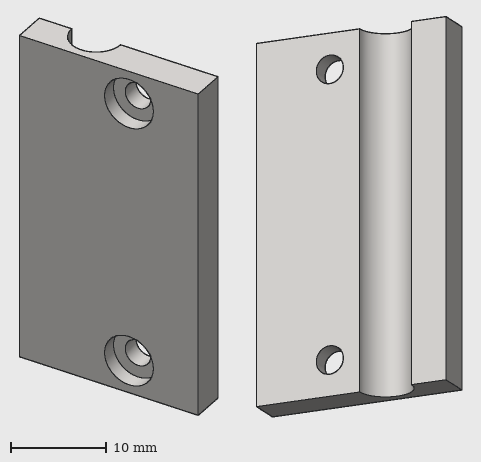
import cadquery as cq

width = 22.0
thickness = 4.0
height = 40.0

groove_diameter = 6.0
groove_x = 7.0

hole_diameter = 3.1
counterbore_diameter = 6.0
counterbore_depth = 1.8
hole_x = 13.5
hole_end_distance = 4.0
hole_heights = (hole_end_distance, height - hole_end_distance)


def front_cylinder(diameter, depth, z):
    """Cylinder at a screw position, reaching from the front face into the plate."""
    return cq.Workplane("XZ").center(hole_x, z).circle(diameter / 2).extrude(-depth)


plate = cq.Workplane("XY").box(width, thickness, height, centered=False)

groove = cq.Workplane("XY").center(groove_x, thickness).circle(groove_diameter / 2).extrude(height)
result = plate.cut(groove)

for hole_z in hole_heights:
    result = result.cut(front_cylinder(hole_diameter, thickness, hole_z))
    result = result.cut(front_cylinder(counterbore_diameter, counterbore_depth, hole_z))